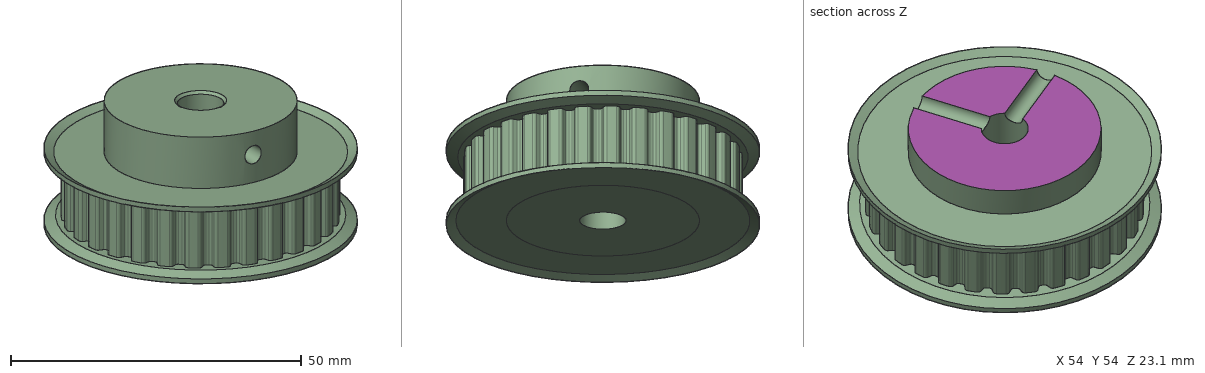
import cadquery as cq
import math

flange_radius = 27.0
flange_thickness = 0.9
dish_depth = 0.8
dish_outer_fold_radius = 25.0
dish_inner_fold_radius = 25.3
flange_height = flange_thickness + dish_depth

belt_width = 10.85
total_height = 23.05
belt_bottom = flange_height
belt_top = belt_bottom + belt_width
upper_rim_top = belt_top + flange_height

hub_radius = 16.65
bore_radius = 4.0
bore_chamfer = 0.5
screw_hole_radius = 1.7
screw_hole_height = (upper_rim_top + total_height) / 2
screw_hole_directions = [(1, 0, 0), (0, 1, 0)]

tooth_count = 30
tooth_tip_radius = 24.05
groove_depth = 1.4
groove_flank_angle = math.radians(25)
groove_floor_half_width = 0.25
root_fillet_radius = 0.55
tip_fillet_radius = 0.65
tooth_pitch_angle = 360 / tooth_count


def tooth_groove_cutter():
    """One belt groove on the X axis, with rounded roots and rounded tooth tips."""
    sine = math.sin(groove_flank_angle)
    cosine = math.cos(groove_flank_angle)
    half_turn = (math.pi / 2 - groove_flank_angle) / 2

    floor_x = tooth_tip_radius - groove_depth
    root_centre = (floor_x + root_fillet_radius, groove_floor_half_width)
    root_middle = (
        root_centre[0] - root_fillet_radius * math.cos(half_turn),
        root_centre[1] + root_fillet_radius * math.sin(half_turn),
    )
    root_end = (
        root_centre[0] - root_fillet_radius * sine,
        root_centre[1] + root_fillet_radius * cosine,
    )

    centre_orbit = tooth_tip_radius - tip_fillet_radius
    offset_x = root_end[0] - tip_fillet_radius * sine
    offset_y = root_end[1] + tip_fillet_radius * cosine
    along = offset_x * cosine + offset_y * sine
    flank_length = -along + math.sqrt(along**2 + centre_orbit**2 - offset_x**2 - offset_y**2)
    tip_centre = (offset_x + flank_length * cosine, offset_y + flank_length * sine)
    tip_start = (root_end[0] + flank_length * cosine, root_end[1] + flank_length * sine)

    land_angle = math.atan2(tip_centre[1], tip_centre[0])
    tip_end = (tooth_tip_radius * math.cos(land_angle), tooth_tip_radius * math.sin(land_angle))
    flank_normal_angle = groove_flank_angle - math.pi / 2
    middle_angle = (land_angle + flank_normal_angle) / 2
    tip_middle = (
        tip_centre[0] + tip_fillet_radius * math.cos(middle_angle),
        tip_centre[1] + tip_fillet_radius * math.sin(middle_angle),
    )

    def mirrored(point):
        return (point[0], -point[1])

    return (
        cq.Workplane("XY", origin=(0, 0, belt_bottom))
        .moveTo(floor_x, -groove_floor_half_width)
        .lineTo(floor_x, groove_floor_half_width)
        .threePointArc(root_middle, root_end)
        .lineTo(*tip_start)
        .threePointArc(tip_middle, tip_end)
        .lineTo(flange_radius, tip_end[1])
        .lineTo(flange_radius, -tip_end[1])
        .lineTo(*mirrored(tip_end))
        .threePointArc(mirrored(tip_middle), mirrored(tip_start))
        .lineTo(*mirrored(root_end))
        .threePointArc(mirrored(root_middle), (floor_x, -groove_floor_half_width))
        .close()
        .extrude(belt_width)
    )


def make_pulley():
    """Toothed rim with a hub through both flanges, a bore and two set-screw holes."""
    toothed_rim = (
        cq.Workplane("XY", origin=(0, 0, belt_bottom)).circle(tooth_tip_radius).extrude(belt_width)
    )
    groove = tooth_groove_cutter().val()
    grooves = [
        groove.rotate((0, 0, 0), (0, 0, 1), (index + 0.5) * tooth_pitch_angle)
        for index in range(tooth_count)
    ]
    toothed_rim = cq.Workplane(toothed_rim.val().cut(*grooves))

    hub = (
        cq.Workplane("XY", origin=(0, 0, dish_depth))
        .circle(hub_radius)
        .extrude(total_height - dish_depth)
    )
    bore = cq.Workplane("XY").circle(bore_radius).extrude(total_height)
    pulley = toothed_rim.union(hub).cut(bore)
    bore_mouth = pulley.faces(">Z").edges(cq.selectors.RadiusNthSelector(0))
    pulley = bore_mouth.chamfer(bore_chamfer)

    for direction in screw_hole_directions:
        screw_hole = cq.Solid.makeCylinder(
            screw_hole_radius,
            flange_radius,
            cq.Vector(0, 0, screw_hole_height),
            cq.Vector(*direction),
        )
        pulley = pulley.cut(cq.Workplane(screw_hole))
    return pulley


def make_upper_flange():
    """Ring seated on the toothed rim, its outer edge bent upwards."""
    return (
        cq.Workplane("XZ")
        .moveTo(hub_radius, belt_top)
        .lineTo(dish_outer_fold_radius, belt_top)
        .lineTo(flange_radius, belt_top + dish_depth)
        .lineTo(flange_radius, upper_rim_top)
        .lineTo(dish_inner_fold_radius, belt_top + flange_thickness)
        .lineTo(hub_radius, belt_top + flange_thickness)
        .close()
        .revolve(360, (0, 0), (0, 1))
    )


pulley = make_pulley()
upper_flange = make_upper_flange()
belt_middle = (belt_bottom + belt_top) / 2
lower_flange = upper_flange.mirror("XY", (0, 0, belt_middle))

result = cq.Compound.makeCompound([pulley.val(), upper_flange.val(), lower_flange.val()])